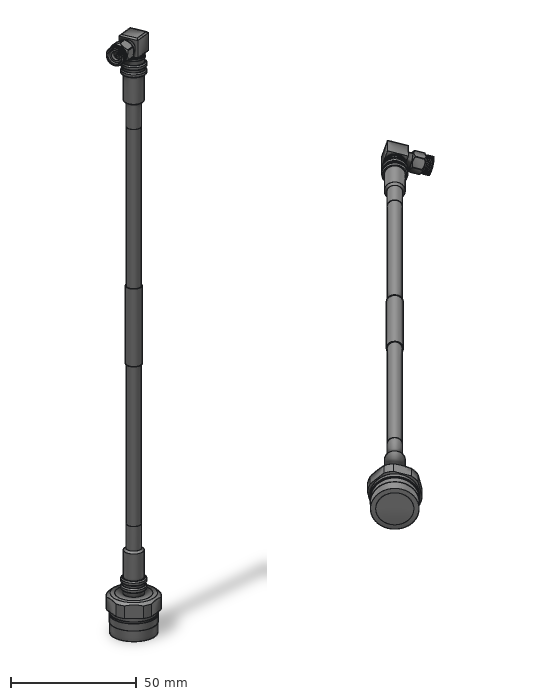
import cadquery as cq
import math


total_height = 261.5
top_body_z = 244.0
bottom_body_z = 24.0
nut_top_z = 17.0

cable_radius = 3.0
label_radius = 3.5
label_bottom_z = 117.2
label_length = 34.0
boot_radius = 4.2
boot_grip_length = 4.5
boot_taper_length = 0.3
boot_length = 8.9
boot_neck_radius = 3.1

collar_radius = 5.2
collar_ring_height = 2.0
collar_gap_height = 1.0
collar_groove_radius = 4.5
collar_ring_chamfer = 0.5
shoulder_radius = 4.31

nut_flats = 20.7
nut_corner_radius = 11.0
hex_height = 6.5
hex_top_radius = 9.5
hex_chamfer_height = 1.0
barrel_radius = 9.8
barrel_skirt_radius = 9.7
barrel_skirt_height = 4.7
barrel_groove_radius = 9.55
barrel_groove_z = 7.8
barrel_groove_width = 0.8
shank_radius = 7.5

block_width = 8.5
block_height = 8.4
block_chamfer = 0.65
block_neck_radius = 3.7
shoulder_height = 3.5
flange_radius = 4.58
flange_height = 1.5
flange_chamfer = 0.65

nose_axis_z = 257.0
nose_tip_y = -15.2
nose_neck_radius = 3.1
sma_nut_length = 8.5
sma_hex_length = 5.5
sma_nut_flats = 7.8
sma_corner_radius = 4.5
sma_barrel_radius = 4.0
sma_groove_radius = 3.7
sma_groove_width = 0.5
sma_groove_count = 3
sma_chamfer = 0.8
sma_socket_depth = 2.5
sma_sleeve_radius = 2.75
sma_sleeve_bore = 1.95
sma_pin_radius = 0.4
sma_tip_recess = 0.8

collar_height = 2 * collar_ring_height + collar_gap_height
sma_nut_back_y = nose_tip_y + sma_nut_length


def cylinder(radius, height, base_z):
    return cq.Workplane("XY").workplane(offset=base_z).circle(radius).extrude(height)


def rod_along_y(radius, start_y, end_y):
    """A cylinder on the nose axis between two Y stations, start_y being the more positive."""
    start = cq.Workplane("XZ", origin=(0, start_y, nose_axis_z))
    return start.circle(radius).extrude(start_y - end_y)


def ring(outer_radius, inner_radius, height, base_z):
    return cylinder(outer_radius, height, base_z).cut(cylinder(inner_radius, height, base_z))


def turned(profile):
    """A solid turned about the Z axis from (radius, z) points."""
    return cq.Workplane("XZ").polyline(profile).close().revolve(360, (0, 0, 0), (0, 1, 0))


def hexagon(flats):
    """The six corners of a hexagon of the given width across flats, with two flats facing +X and -X."""
    corner_radius = flats / 2 / math.cos(math.pi / 6)
    corners = []
    for i in range(6):
        angle = math.pi / 6 + i * math.pi / 3
        corners.append((corner_radius * math.cos(angle), corner_radius * math.sin(angle)))
    return corners


def make_cable():
    return cylinder(cable_radius, top_body_z - bottom_body_z, bottom_body_z)


def make_label():
    return ring(label_radius, cable_radius, label_length, label_bottom_z)


def make_boot(end_z, direction):
    """A heat-shrink boot: grip, short taper and neck, running from end_z along +Z or -Z."""
    grip_z = end_z + direction * boot_grip_length
    taper_z = grip_z + direction * boot_taper_length
    neck_z = end_z + direction * boot_length
    profile = [
        (cable_radius, end_z),
        (boot_radius, end_z),
        (boot_radius, grip_z),
        (boot_neck_radius, taper_z),
        (boot_neck_radius, neck_z),
        (cable_radius, neck_z),
    ]
    return turned(profile)


def crimp_collar(base_z):
    """Two rings with a groove between them."""
    collar = cylinder(collar_groove_radius, collar_height, base_z)
    for ring_z in (base_z, base_z + collar_ring_height + collar_gap_height):
        rim = cylinder(collar_radius, collar_ring_height, ring_z).edges().chamfer(collar_ring_chamfer)
        collar = collar.union(rim)
    return collar


def make_n_body():
    collar_z = bottom_body_z - collar_height
    shank = cylinder(shank_radius, nut_top_z, 0)
    shoulder = cylinder(shoulder_radius, collar_z - nut_top_z, nut_top_z)
    return shank.union(shoulder).union(crimp_collar(collar_z))


def make_n_nut():
    hex_z = nut_top_z - hex_height
    base = cq.Workplane("XY").workplane(offset=hex_z)
    head = base.polyline(hexagon(nut_flats)).close().extrude(hex_height)
    crown_profile = [
        (0, hex_z),
        (nut_corner_radius, hex_z),
        (nut_corner_radius, nut_top_z - hex_chamfer_height),
        (hex_top_radius, nut_top_z),
        (0, nut_top_z),
    ]
    head = head.intersect(turned(crown_profile))
    skirt = cylinder(barrel_skirt_radius, barrel_skirt_height, 0)
    barrel = cylinder(barrel_radius, hex_z - barrel_skirt_height, barrel_skirt_height)
    barrel = barrel.cut(ring(barrel_radius, barrel_groove_radius, barrel_groove_width, barrel_groove_z))
    nut = head.union(barrel).union(skirt)
    return nut.cut(cylinder(shank_radius, nut_top_z, 0))


def make_sma_body():
    block_z = total_height - block_height
    block = cq.Workplane("XY").workplane(offset=block_z).rect(block_width, block_width)
    block = block.extrude(block_height).faces(">Z").chamfer(block_chamfer)
    shoulder_z = top_body_z + collar_height
    shoulder = cylinder(shoulder_radius, shoulder_height, shoulder_z)
    flange_z = shoulder_z + shoulder_height - flange_height
    flange = cylinder(flange_radius, flange_height, flange_z).faces(">Z").chamfer(flange_chamfer)
    neck = cylinder(block_neck_radius, block_z - shoulder_z, shoulder_z)
    body = block.union(neck).union(shoulder).union(flange).union(crimp_collar(top_body_z))

    socket_y = nose_tip_y + sma_socket_depth
    tip_y = nose_tip_y + sma_tip_recess
    nose_neck = rod_along_y(nose_neck_radius, 0, socket_y)
    sleeve = rod_along_y(sma_sleeve_radius, socket_y, tip_y)
    sleeve = sleeve.cut(rod_along_y(sma_sleeve_bore, socket_y, tip_y))
    pin = rod_along_y(sma_pin_radius, socket_y, tip_y)
    return body.union(nose_neck).union(sleeve).union(pin)


def make_sma_nut():
    hex_end_y = sma_nut_back_y - sma_hex_length
    head = cq.Workplane("XZ", origin=(0, sma_nut_back_y, nose_axis_z))
    head = head.polyline(hexagon(sma_nut_flats)).close().extrude(sma_hex_length)
    crown = rod_along_y(sma_corner_radius, sma_nut_back_y, hex_end_y).edges().chamfer(sma_chamfer)
    nut = head.intersect(crown).union(rod_along_y(sma_barrel_radius, hex_end_y, nose_tip_y))
    groove_pitch = (hex_end_y - nose_tip_y) / sma_groove_count
    for i in range(sma_groove_count):
        start_y = hex_end_y - i * groove_pitch
        groove = rod_along_y(sma_barrel_radius, start_y, start_y - sma_groove_width)
        core = rod_along_y(sma_groove_radius, start_y, start_y - sma_groove_width)
        nut = nut.cut(groove.cut(core))
    return nut.cut(rod_along_y(nose_neck_radius, sma_nut_back_y, nose_tip_y))


cable = make_cable()
label = make_label()
boots = [
    make_boot(end_z, direction).val()
    for end_z, direction in ((bottom_body_z, 2.5), (top_body_z, -2.5))
]
n_body = make_n_body()
n_nut = make_n_nut()
sma_body = make_sma_body()
sma_nut = make_sma_nut()

result = cq.Compound.makeCompound(
    [cable.val(), label.val(), *boots, n_body.val(), n_nut.val(), sma_body.val(), sma_nut.val()]
)